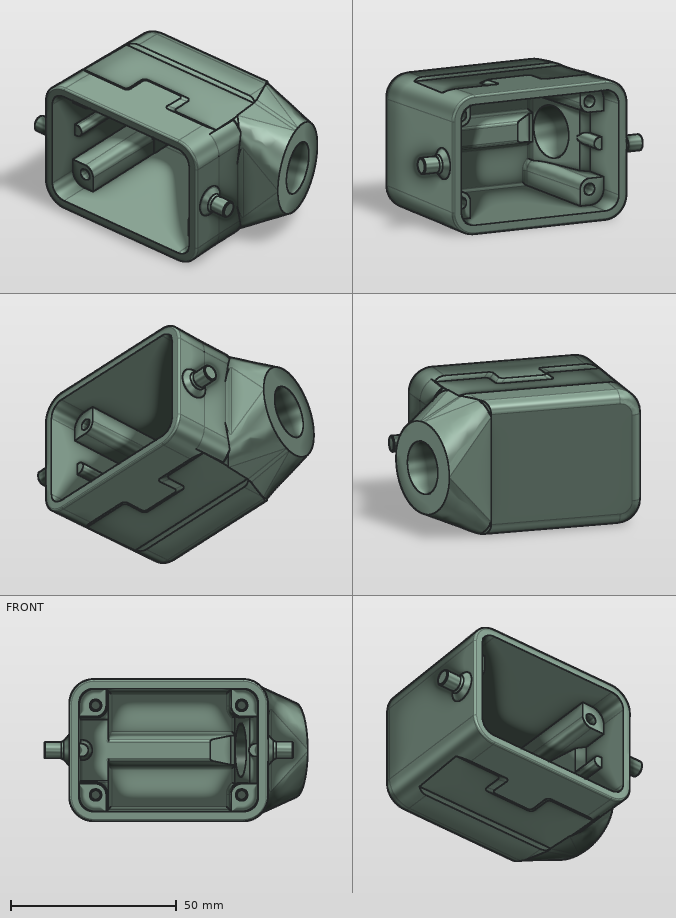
import cadquery as cq
import math


LENGTH_X = 60.0
HEIGHT_Z = 42.98
DEPTH_Y = 46.0
CORNER_RADIUS = 7.5
DRAFT = 0.95
BACK_ROUND = 3.7
RIM_ROUND = 0.65
DRAFT_SLOPE = math.tan(math.radians(DRAFT))

OUTLET_ROOT = (
    (19.2, 46.0, 16.4),
    (21.7, 41.8, 20.8),
    (24.7, 34.2, 20.4),
    (24.9, 32.7, 20.1),
    (25.6, 24.2, 20.1),
    (29.7, 20.2, 13.6),
)
OUTLET_ANGLES = (0.5, 89.5, 90.0, 95.5, 96.0, 179.5)
ROUNDED_SPANS = ((0, 1), (4, 5))
ROOT_BULGE = 0.15
ROOT_APEX = (15.0, 32.0, 0.0)
OUTLET_ROOT_ROUND = 1.5
OUTLET_RADIUS = 14.25
OUTLET_TILT = 15.6
OUTLET_REACH_X = 41.96
OUTLET_REACH_Y = 51.18
BORE_RADIUS = 8.1
BORE_OVERRUN = 1.0
BORE_INNER_REACH = 17.5

RECESS_Z = 20.1
RECESS_FRONT_Y = 13.7
RECESS_BACK_Y = 32.6
RECESS_BEVEL = 58.0
RECESS_ROUND = 1.4
RECESS_CUT_HEIGHT = 1.6
TONGUE_HALF_WIDTH = 9.2
TONGUE_TIP_Y = 21.8

PAD_START_X = 26.2
PAD_Y = (10.5, 21.5)

PIN_TIP_X = 37.5
PIN_Y = 6.2
PIN_RADIUS = 2.5
PIN_CHAMFER = 0.3
PIN_NECK_X = 32.4
PIN_CONE_TOP = (31.6, 2.9)
PIN_CONE_BASE = (30.1, 4.5)
PIN_FLARE_BASE = (29.7, 5.05)
PIN_ROOT_X = 28.5

OPENING_X = 54.07
OPENING_Z = 37.1
OPENING_RADIUS = 4.5
FLOOR_Y = 43.0
POST_FACE_Y = 9.3
POST_EDGE_X = 19.0
POST_EDGE_Z = 10.3
POST_ROUND = 3.0
SCREW_X = 22.0
SCREW_Z = 13.5
SCREW_TOP_RADIUS = 1.8
SCREW_END_RADIUS = 1.4
SCREW_DEPTH = 12.0
FLOOR_ROUND = 1.0

STEP_Y = 37.0
STEP_EDGE_X = -18.2
STEP_ROUND = 0.3
STEP_LIP_ROUND = 0.3
COVE_ROUND = 0.5
RIDGE_TOP_HALF = 3.1
RIDGE_FLARE = 0.3
RIDGE_TOP_ROUND = 0.9
RIDGE_SLOPE = ((12.5, STEP_Y), (18.7, 41.2))
OUTLET_WALL = ((27.2, 17.0), (24.5, 20.0), (20.0, 41.2))

KEY_RADIUS = 1.9
KEY_CENTRE_X = 26.1
KEY_FACE_Y = 10.3
KEY_ROOT_ROUND = 1.2


def facing_y(y):
    """Workplane at depth y, extruding towards +Y, with local x along X."""
    return cq.Workplane(cq.Plane(origin=(0, y, 0), xDir=(1, 0, 0), normal=(0, 1, 0)))


def rounded_block(length, height, radius, start_y, end_y, draft):
    """Block tapering towards +Y, with the same radius along its four corners."""
    block = facing_y(start_y).rect(length, height).extrude(end_y - start_y, taper=draft)
    return block.edges("not (#Y)").fillet(radius)


def both_z_sides(shape):
    return shape.union(shape.mirror("XY"))


def make_shell():
    shell = rounded_block(LENGTH_X, HEIGHT_Z, CORNER_RADIUS, 0, DEPTH_Y, DRAFT)
    shell = shell.faces(">Y").edges().fillet(BACK_ROUND)
    shell = shell.faces("<Y").edges().fillet(RIM_ROUND)
    far = 2 * LENGTH_X
    root_path = [(x, y) for x, y, _ in OUTLET_ROOT]
    front_y = root_path[-1][1]
    beyond_cut = (
        cq.Workplane("XY")
        .polyline([*root_path, (far, front_y), (far, far), (root_path[0][0], far)])
        .close()
        .extrude(HEIGHT_Z, both=True)
    )
    return shell.cut(beyond_cut)


def recess_wire(height):
    """Outline of the recess at a height above its floor; the bevel widens it outwards."""
    grow = height * math.tan(math.radians(RECESS_BEVEL))
    front_y = RECESS_FRONT_Y - grow
    back_y = RECESS_BACK_Y + grow
    half_width = TONGUE_HALF_WIDTH - grow
    tip_y = TONGUE_TIP_Y - grow
    points = [
        (-LENGTH_X, front_y),
        (-half_width, front_y),
        (-half_width, tip_y),
        (half_width, tip_y),
        (half_width, front_y),
        (LENGTH_X, front_y),
        (LENGTH_X, back_y),
        (-LENGTH_X, back_y),
    ]
    sharp = cq.Wire.makePolygon([cq.Vector(x, y) for x, y in points], close=True)
    corners = [vertex for vertex in sharp.Vertices() if abs(vertex.X) < LENGTH_X / 2]
    outline = sharp.fillet2D(RECESS_ROUND, corners)
    return outline.moved(cq.Location(cq.Vector(0, 0, RECESS_Z + height)))


def make_recess():
    wires = [recess_wire(0), recess_wire(RECESS_CUT_HEIGHT)]
    return both_z_sides(cq.Workplane(cq.Solid.makeLoft(wires, True)))


def outlet_axis():
    """Direction of the outlet and the centre of its round end."""
    tilt = math.radians(OUTLET_TILT)
    direction = cq.Vector(math.cos(tilt), math.sin(tilt), 0)
    centre = cq.Vector(
        OUTLET_REACH_X - OUTLET_RADIUS * math.sin(tilt),
        OUTLET_REACH_Y - OUTLET_RADIUS * math.cos(tilt),
        0,
    )
    return direction, centre


def bulged_edge(start, stop, apex):
    """Arc from start to stop that bows away from the apex, in their common plane."""
    chord = stop - start
    middle = (start + stop) * 0.5
    outward = (middle - apex) - chord * ((middle - apex).dot(chord) / chord.dot(chord))
    return cq.Edge.makeThreePointArc(
        start, middle + outward.normalized() * (ROOT_BULGE * chord.Length), stop
    )


def make_outlet():
    direction, centre = outlet_axis()
    towards_back = cq.Vector(-direction.y, direction.x, 0)
    apex = cq.Vector(*ROOT_APEX)

    def end_point(angle):
        turn = math.radians(angle)
        offset = towards_back * math.cos(turn) + cq.Vector(0, 0, math.sin(turn))
        return centre + offset * OUTLET_RADIUS

    count = len(OUTLET_ROOT)
    mirrored_root = [(x, y, -z) for x, y, z in reversed(OUTLET_ROOT)]
    root = [cq.Vector(*point) for point in [*OUTLET_ROOT, *mirrored_root]]
    angles = [*OUTLET_ANGLES, *(360 - angle for angle in reversed(OUTLET_ANGLES))]
    rounded = [*ROUNDED_SPANS, *((2 * count - 1 - b, 2 * count - 1 - a) for a, b in ROUNDED_SPANS)]

    faces = []
    end_edges = []
    for i, start in enumerate(root):
        j = (i + 1) % len(root)
        stop = root[j]
        angle = angles[i]
        next_angle = angles[j] if j else angles[j] + 360
        if (i, j) in rounded:
            root_edge = bulged_edge(start, stop, apex)
        else:
            root_edge = cq.Edge.makeLine(start, stop)
        end_edge = cq.Edge.makeThreePointArc(
            end_point(angle), end_point((angle + next_angle) / 2), end_point(next_angle)
        )
        end_edges.append(end_edge)
        faces.append(cq.Face.makeRuledSurface(root_edge, end_edge))
        spokes = [cq.Edge.makeLine(stop, apex), cq.Edge.makeLine(apex, start)]
        faces.append(cq.Face.makeFromWires(cq.Wire.assembleEdges([root_edge, *spokes])))
    faces.append(cq.Face.makeFromWires(cq.Wire.assembleEdges(end_edges)))
    return cq.Workplane(cq.Solid.makeSolid(cq.Shell.makeShell(faces)).fix())


def make_bore():
    direction, centre = outlet_axis()
    start = centre - direction * BORE_INNER_REACH
    length = BORE_INNER_REACH + BORE_OVERRUN
    return cq.Workplane(cq.Solid.makeCylinder(BORE_RADIUS, length, start, direction))


def make_pad():
    start_y, end_y = PAD_Y
    shrink = 2 * DRAFT_SLOPE * start_y
    block = rounded_block(LENGTH_X - shrink, HEIGHT_Z - shrink, CORNER_RADIUS, start_y, end_y, 0)
    keep = cq.Workplane("XY").box(LENGTH_X, 2 * LENGTH_X, HEIGHT_Z)
    keep = keep.translate((PAD_START_X + LENGTH_X / 2, 0, 0))
    return block.intersect(keep)


def make_pin():
    """Locking pin on the -X side."""
    return (
        cq.Workplane("XY", origin=(0, PIN_Y, 0))
        .moveTo(-PIN_TIP_X, 0)
        .lineTo(-PIN_TIP_X, PIN_RADIUS - PIN_CHAMFER)
        .lineTo(-PIN_TIP_X + PIN_CHAMFER, PIN_RADIUS)
        .lineTo(-PIN_NECK_X, PIN_RADIUS)
        .lineTo(-PIN_CONE_TOP[0], PIN_CONE_TOP[1])
        .lineTo(-PIN_CONE_BASE[0], PIN_CONE_BASE[1])
        .lineTo(-PIN_FLARE_BASE[0], PIN_FLARE_BASE[1])
        .lineTo(-PIN_ROOT_X, PIN_FLARE_BASE[1])
        .lineTo(-PIN_ROOT_X, 0)
        .close()
        .revolve(360, (0, 0, 0), (1, 0, 0))
    )


def make_ridge():
    """Ridge along the middle of the floor, sloping down to the outlet wall."""
    start_x = STEP_EDGE_X - 1
    end_x = OUTLET_WALL[-1][0]
    base_half = RIDGE_TOP_HALF + (DEPTH_Y - STEP_Y) * RIDGE_FLARE
    half_profile = [(STEP_Y, RIDGE_TOP_HALF), (DEPTH_Y, base_half)]
    mirrored = [(y, -z) for y, z in reversed(half_profile)]
    ridge = cq.Workplane("YZ", origin=(start_x, 0, 0)).polyline(half_profile + mirrored).close()
    ridge = ridge.extrude(end_x - start_x)
    slope_end_y = RIDGE_SLOPE[-1][1]
    above_slope = (
        cq.Workplane("XY")
        .polyline([*RIDGE_SLOPE, (end_x, slope_end_y), (end_x, STEP_Y)])
        .close()
        .extrude(HEIGHT_Z, both=True)
    )
    ridge = ridge.edges("<Y and |X").fillet(RIDGE_TOP_ROUND)
    return ridge.cut(above_slope)


def make_key(side):
    """Half-round key on the end wall at -X (side -1) or +X (side 1)."""
    key = facing_y(KEY_FACE_Y).center(side * KEY_CENTRE_X, 0).circle(KEY_RADIUS).extrude(DEPTH_Y)
    root = facing_y(KEY_FACE_Y).center(side * (KEY_CENTRE_X + KEY_RADIUS), 0)
    return key.union(root.rect(2 * KEY_RADIUS, 2 * KEY_RADIUS).extrude(DEPTH_Y))


def make_step_coves():
    """Concave rounds where the step meets the posts at both Z ends."""
    wall_z = POST_EDGE_Z - DRAFT_SLOPE * STEP_Y
    start_x = -OPENING_X / 2
    cove = (
        cq.Workplane("YZ", origin=(start_x, 0, 0))
        .moveTo(STEP_Y, wall_z - COVE_ROUND)
        .radiusArc((STEP_Y - COVE_ROUND, wall_z), COVE_ROUND)
        .lineTo(STEP_Y - COVE_ROUND, wall_z + POST_ROUND)
        .lineTo(STEP_Y + COVE_ROUND, wall_z + POST_ROUND)
        .lineTo(STEP_Y + COVE_ROUND, wall_z - COVE_ROUND)
        .close()
        .extrude(STEP_EDGE_X - start_x)
    )
    return both_z_sides(cove)


def make_key_root():
    """Concave flare where the -X key meets the step."""
    flare_radius = KEY_RADIUS + KEY_ROOT_ROUND
    return (
        cq.Workplane("XY", origin=(-KEY_CENTRE_X, STEP_Y, 0))
        .moveTo(0, -KEY_ROOT_ROUND)
        .lineTo(KEY_RADIUS, -KEY_ROOT_ROUND)
        .radiusArc((flare_radius, 0), -KEY_ROOT_ROUND)
        .lineTo(flare_radius, KEY_ROOT_ROUND)
        .lineTo(0, KEY_ROOT_ROUND)
        .close()
        .revolve(360, (0, 0, 0), (0, 1, 0))
    )


def make_step():
    """Raised floor at the -X end of the cavity."""
    block = cq.Workplane("XY").box(LENGTH_X, LENGTH_X, LENGTH_X)
    return block.translate((STEP_EDGE_X - LENGTH_X / 2, STEP_Y + LENGTH_X / 2, 0))


def make_outlet_wall():
    """Slanted inner wall that the cable bore opens into."""
    front_y = OUTLET_WALL[0][1]
    back_x = OUTLET_WALL[-1][0]
    return (
        cq.Workplane("XY")
        .polyline([*OUTLET_WALL, (back_x, DEPTH_Y), (LENGTH_X, DEPTH_Y), (LENGTH_X, front_y)])
        .close()
        .extrude(HEIGHT_Z, both=True)
    )


def make_well():
    """Cross-shaped space between the four corner posts."""
    inner_corners = cq.selectors.BoxSelector(
        (-POST_EDGE_X - 1, -POST_EDGE_Z - 1, -1), (POST_EDGE_X + 1, POST_EDGE_Z + 1, 1)
    )
    cross = (
        cq.Sketch()
        .rect(2 * POST_EDGE_X, OPENING_Z)
        .rect(OPENING_X, 2 * POST_EDGE_Z)
        .clean()
        .vertices(inner_corners)
        .fillet(POST_ROUND)
    )
    well = facing_y(0).placeSketch(cross).extrude(FLOOR_Y, taper=DRAFT)
    well = well.cut(make_outlet_wall()).cut(make_step()).cut(make_ridge())
    well = well.faces(">Y").edges().fillet(FLOOR_ROUND)
    step_edges = cq.selectors.BoxSelector(
        (-LENGTH_X / 2, STEP_Y - STEP_LIP_ROUND, -POST_EDGE_Z),
        (STEP_EDGE_X + STEP_LIP_ROUND, STEP_Y + STEP_LIP_ROUND, POST_EDGE_Z),
    )
    well = well.edges(step_edges).edges("<X").fillet(STEP_ROUND)
    return well.edges(step_edges).edges(">X").fillet(STEP_LIP_ROUND)


def make_cavity():
    opening = rounded_block(OPENING_X, OPENING_Z, OPENING_RADIUS, 0, POST_FACE_Y, DRAFT)
    cavity = opening.union(make_well())
    for side in (-1, 1):
        cavity = cavity.cut(make_key(side))
    return cavity.cut(make_key_root()).cut(make_step_coves())


def make_screw_holes():
    """Slightly tapered blind holes in the post ends."""
    centres = [(x, z) for x in (-SCREW_X, SCREW_X) for z in (-SCREW_Z, SCREW_Z)]
    taper = math.degrees(math.atan((SCREW_TOP_RADIUS - SCREW_END_RADIUS) / SCREW_DEPTH))
    outline = facing_y(POST_FACE_Y).pushPoints(centres).circle(SCREW_TOP_RADIUS)
    return outline.extrude(SCREW_DEPTH, taper=taper)


def round_outlet_root(hood):
    """Concave round between the straight pad and the front of the outlet."""
    x, y, _ = OUTLET_ROOT[-1]
    front_edge = cq.selectors.BoxSelector((x - 1, y - 1, -1), (x + 1, y + 1, 1))
    return hood.edges(front_edge).fillet(OUTLET_ROOT_ROUND)


pin = make_pin()
hood = (
    make_shell()
    .cut(make_recess())
    .union(make_outlet())
    .union(make_pad())
    .union(pin)
    .union(pin.mirror("YZ"))
    .cut(make_cavity())
    .cut(make_bore())
    .cut(make_screw_holes())
)
result = round_outlet_root(hood)